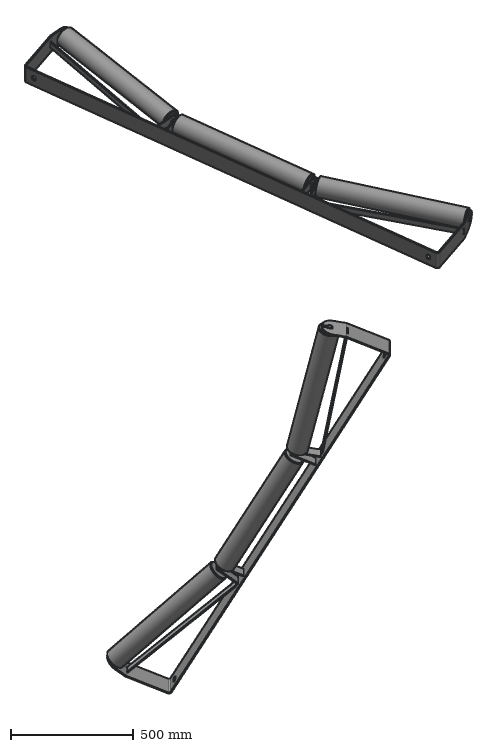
import cadquery as cq
import math


frame_length = 2000.0
strip_width = 90.0
plate = 5.0
corner_radius = 12.0
bend_height = 205.0
tip_length = 102.0
lean = 15.0
bolt_slot_inset = 48.0
bolt_slot_width = 18.0
bolt_slot_height = 25.0

drum_diameter = 89.0
drum_length = 640.0
drum_chamfer = 5.0
shaft_diameter = 20.0
shaft_slot_width = 12.0
roller_drop = 6.5
middle_axis_y = 98.0
wing_end_x = 973.0
wing_end_y = 270.0
wing_tip_gap = 5.0
bracket_gap = 5.0

web_top_y = 121.0
bracket_width = 45.0
strut_width = 30.0
strut_outer_y = 200.0
strut_foot_x = 388.0

half_length = frame_length / 2
lean_sin = math.sin(math.radians(lean))
lean_cos = math.cos(math.radians(lean))
lean_tan = math.tan(math.radians(lean))

wing_tilt = math.asin(roller_drop / drum_length)
wing_direction = cq.Vector(
    lean_cos * math.cos(wing_tilt), -lean_sin * math.cos(wing_tilt), -math.sin(wing_tilt)
)
wing_outer_end = cq.Vector(-wing_end_x, wing_end_y, 0)
wing_inner_end = wing_outer_end + wing_direction * drum_length
middle_outer_end = cq.Vector(-drum_length / 2, middle_axis_y, -roller_drop)


def mirrored(body):
    """The copy of a left-hand body on the right-hand side."""
    return body.mirror("YZ")


def prism(points, width):
    """An XY outline extruded evenly to both sides of Z = 0."""
    return cq.Workplane("XY").polyline(points).close().extrude(width / 2, both=True)


def rod(start, direction, diameter, length):
    """A round bar from a start point along a direction."""
    return cq.Workplane(cq.Solid.makeCylinder(diameter / 2, length, start, direction))


def make_roller(drum_start, direction, reach_start, reach_end):
    """A drum with a shaft that reaches past each drum end."""
    drum = rod(drum_start, direction, drum_diameter, drum_length).edges("%CIRCLE").chamfer(drum_chamfer)
    shaft_length = reach_start + drum_length + reach_end
    shaft = rod(drum_start - direction * reach_start, direction, shaft_diameter, shaft_length)
    return drum.union(shaft)


bracket_reach = bracket_gap + plate
left_wing_roller = make_roller(wing_outer_end, wing_direction, wing_tip_gap + plate, bracket_reach)
wing_rollers = [left_wing_roller, mirrored(left_wing_roller)]
middle_roller = make_roller(middle_outer_end, cq.Vector(1, 0, 0), bracket_reach, bracket_reach)


def make_left_strut():
    """A flat bar from the base strip through the frame end, flush with its outer face."""
    slope = math.atan2(strut_outer_y - plate, half_length - strut_foot_x)
    half_y = plate / 2 / math.cos(slope)
    half_x = plate / 2 / math.sin(slope)
    outline = [
        (-half_length, strut_outer_y - half_y),
        (-strut_foot_x - half_x, plate),
        (-strut_foot_x + half_x, plate),
        (-half_length, strut_outer_y + half_y),
    ]
    return prism(outline, strut_width)


left_strut = make_left_strut()
struts = [left_strut, mirrored(left_strut)]


def make_strip():
    """The bent strip with square tips and rounded bends beside the base."""
    tip_outer = (half_length - tip_length * lean_sin, bend_height + tip_length * lean_cos)
    tip_inner = (tip_outer[0] - plate * lean_cos, tip_outer[1] - plate * lean_sin)
    inner_bend_y = bend_height - plate * math.tan(math.radians(lean / 2))
    right_half = [
        (half_length - plate, plate),
        (half_length - plate, inner_bend_y),
        tip_inner,
        tip_outer,
        (half_length, bend_height),
        (half_length, 0),
    ]
    left_half = [(-x, y) for x, y in reversed(right_half)]
    strip = prism(right_half + left_half, strip_width)
    corners = [(half_length, 0, corner_radius), (half_length - plate, plate, corner_radius - plate)]
    for side in (-1, 1):
        for x, y, radius in corners:
            bend_edge = cq.selectors.NearestToPointSelector((side * x, y, 0))
            strip = strip.edges("|Z").edges(bend_edge).fillet(radius)
    return strip


def make_left_tip_cutter():
    """Removes the corners outside the full round at the left tip and opens the shaft slot."""
    tip_radius = strip_width / 2
    to_centre = tip_length - tip_radius
    centre = (-half_length + to_centre * lean_sin, bend_height + to_centre * lean_cos, 0)
    tip = cq.Workplane(
        cq.Plane(origin=centre, xDir=(lean_sin, lean_cos, 0), normal=(lean_cos, -lean_sin, 0))
    )
    beyond_centre = tip.center(tip_radius, 0)
    corners = beyond_centre.rect(2 * tip_radius, 2 * strip_width).extrude(2 * plate, both=True)
    corners = corners.cut(tip.circle(tip_radius).extrude(2 * plate, both=True))
    slot = beyond_centre.rect(2 * tip_radius, shaft_slot_width).extrude(2 * plate, both=True)
    return corners.union(slot)


def make_frame():
    """The strip with bolt slots, keyed round tips, shaft holes and slots for the strut ends."""
    frame = make_strip()
    bolt_slots = (
        cq.Workplane("XZ")
        .pushPoints([(side * (half_length - bolt_slot_inset), 0) for side in (-1, 1)])
        .slot2D(bolt_slot_height, bolt_slot_width, 90)
        .extrude(-plate)
    )
    frame = frame.cut(bolt_slots)
    left_tip_cutter = make_left_tip_cutter()
    for cutter in (left_tip_cutter, mirrored(left_tip_cutter), *wing_rollers, *struts):
        frame = frame.cut(cutter)
    return frame


frame = make_frame()


def make_left_bracket():
    """Two legs on the base strip, one upright and one leaning, joined by a web along their tops."""
    upright_inner_x = -drum_length / 2 - bracket_gap
    upright_outer_x = upright_inner_x - plate
    leaning_face = wing_inner_end + wing_direction * bracket_gap

    def leaning_x(y, offset):
        """X of the leaning leg at a height, offset from its face next to the wing drum."""
        return leaning_face.x + (y - leaning_face.y) * lean_tan + offset / lean_cos

    web_y = web_top_y - plate
    outline = [
        (leaning_x(plate, 0), plate),
        (leaning_x(plate, plate), plate),
        (leaning_x(web_y, plate), web_y),
        (upright_outer_x, web_y),
        (upright_outer_x, plate),
        (upright_inner_x, plate),
        (upright_inner_x, web_top_y),
        (leaning_x(web_top_y, 0), web_top_y),
    ]
    return prism(outline, bracket_width).cut(left_wing_roller).cut(middle_roller)


left_bracket = make_left_bracket()
brackets = [left_bracket, mirrored(left_bracket)]

bodies = [frame, middle_roller, *wing_rollers, *brackets, *struts]
result = cq.Compound.makeCompound([body.solids().val() for body in bodies])